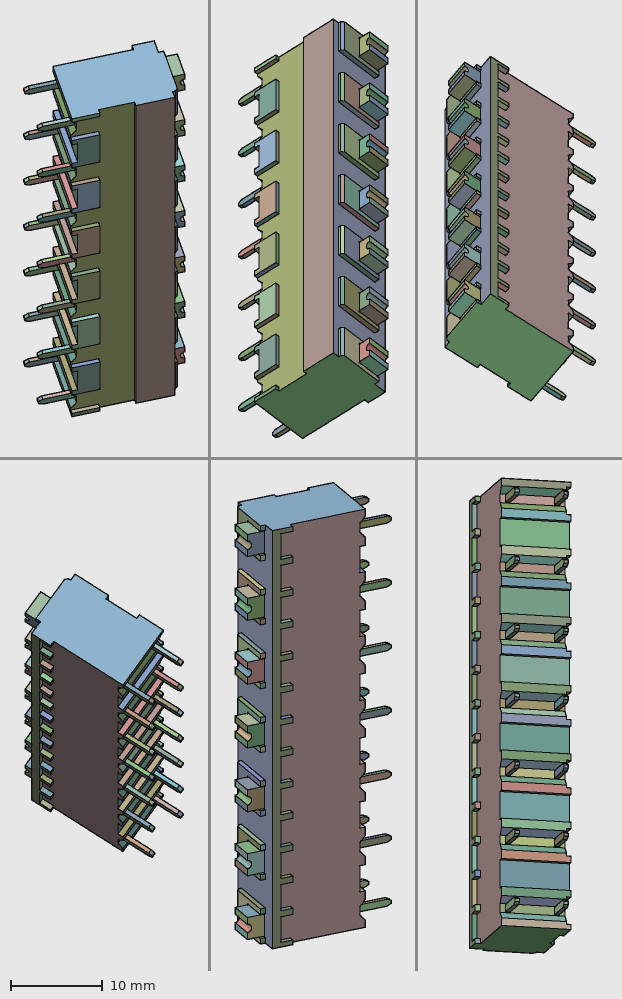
import cadquery as cq

POLE_COUNT = 7
PITCH = 7.62
WIDTH = 8.4
LENGTH = 49.92

FLOOR_Y = 0.65
NOTCH_BOTTOM_Y = 3.15
NOTCH_TOP_Y = 7.2
TOOTH_END_Y = 9.1
LIP_BOTTOM_Y = 10.55
SHOULDER_Y = 11.6
CROWN_Y = 12.2
ACTUATOR_TOP_Y = 13.7
PIN_LENGTH = 3.45

LIP_DEPTH = 0.6
NOTCH_DEPTH = 0.5
LIP_X = (0, WIDTH / 2)

POLE_HALF = 2.25
TOOTH_INNER_HALF = 1.53
GROOVE_FLOOR_HALF = 0.5
GROOVE_MOUTH_HALF = 1.25
CROWN_HALF = 2.1
CROWN_X = (1.7, 7.55)
CROWN_CHAMFER = 0.3
ACTUATOR_HALF = 1.32
ACTUATOR_X = (1.85, 4.85)
ACTUATOR_GAP = 0.12
ACTUATOR_GROOVE_RADIUS = 0.5

PIN_THICKNESS = 0.5
PIN_HALF = 0.42
PIN_TIP_HALF = 0.17
PIN_TIP_LENGTH = 0.5
PIN_X_STARTS = (1.2, 6.7)

FULL_LENGTH = (-LENGTH / 2, LENGTH / 2)
POLE_CENTRES = [(i - (POLE_COUNT - 1) / 2) * PITCH for i in range(POLE_COUNT)]


def box(x_range, y_range, z_range):
    """Box spanning the given (low, high) ranges."""
    sizes = [high - low for low, high in (x_range, y_range, z_range)]
    return cq.Workplane("XY").box(*sizes, centered=False).translate((x_range[0], y_range[0], z_range[0]))


def around(centre, half):
    """Range reaching the same distance to both sides of a centre."""
    return (centre - half, centre + half)


def yz_prism(points, x_range):
    """Extrude an outline of (y, z) points along X."""
    prism = cq.Workplane("YZ").polyline(points).close().extrude(x_range[1] - x_range[0])
    return prism.translate((x_range[0], 0, 0))


def make_core():
    """Continuous housing with the overhanging lip on the -X side."""
    core = box((LIP_DEPTH, WIDTH), (FLOOR_Y, SHOULDER_Y), FULL_LENGTH)
    return core.union(box(LIP_X, (LIP_BOTTOM_Y, SHOULDER_Y), FULL_LENGTH))


def make_pole(centre):
    """Standoff block, pair of lip teeth and crown of one pole."""
    pole = box((LIP_DEPTH, WIDTH), (0, NOTCH_BOTTOM_Y), around(centre, POLE_HALF))
    tooth_span = (LIP_X, (TOOTH_END_Y, SHOULDER_Y))
    teeth = box(*tooth_span, around(centre, POLE_HALF)).cut(box(*tooth_span, around(centre, TOOTH_INNER_HALF)))
    crown = box(CROWN_X, (LIP_BOTTOM_Y, CROWN_Y), around(centre, CROWN_HALF))
    crown = crown.edges(">X and >Y").chamfer(CROWN_CHAMFER)
    return pole.union(teeth).union(crown)


def make_pole_cuts(centre):
    """Flared pin groove, side slot and actuator recess of one pole."""
    groove = yz_prism(
        [
            (0, centre - GROOVE_MOUTH_HALF),
            (0, centre + GROOVE_MOUTH_HALF),
            (FLOOR_Y, centre + GROOVE_FLOOR_HALF),
            (FLOOR_Y, centre - GROOVE_FLOOR_HALF),
        ],
        (0, WIDTH),
    )
    slot = box((WIDTH - NOTCH_DEPTH, WIDTH), (0, NOTCH_BOTTOM_Y), around(centre, TOOTH_INNER_HALF))
    recess = box(
        (CROWN_X[0], ACTUATOR_X[1]), (SHOULDER_Y, CROWN_Y), around(centre, ACTUATOR_HALF + ACTUATOR_GAP)
    )
    return groove.union(slot).union(recess)


def make_actuator(centre):
    """Push block with a round groove along its top."""
    block = box(ACTUATOR_X, (LIP_BOTTOM_Y, ACTUATOR_TOP_Y), around(centre, ACTUATOR_HALF))
    groove = cq.Workplane("YZ").center(ACTUATOR_TOP_Y, centre).circle(ACTUATOR_GROOVE_RADIUS).extrude(WIDTH)
    return block.cut(groove)


def make_pin(x_start, centre):
    """Flat solder pin with a tapered tip."""
    taper_y = PIN_TIP_LENGTH - PIN_LENGTH
    return yz_prism(
        [
            (NOTCH_BOTTOM_Y, centre - PIN_HALF),
            (taper_y, centre - PIN_HALF),
            (-PIN_LENGTH, centre - PIN_TIP_HALF),
            (-PIN_LENGTH, centre + PIN_TIP_HALF),
            (taper_y, centre + PIN_HALF),
            (NOTCH_BOTTOM_Y, centre + PIN_HALF),
        ],
        (x_start, x_start + PIN_THICKNESS),
    )


result = make_core()
for z in POLE_CENTRES:
    result = result.union(make_pole(z))
result = result.intersect(box((0, WIDTH), (0, CROWN_Y), FULL_LENGTH))

result = result.cut(box((WIDTH - NOTCH_DEPTH, WIDTH), (NOTCH_BOTTOM_Y, NOTCH_TOP_Y), FULL_LENGTH))

for z in POLE_CENTRES:
    result = result.cut(make_pole_cuts(z))
    result = result.union(make_actuator(z))
    for pin_x in PIN_X_STARTS:
        result = result.union(make_pin(pin_x, z))